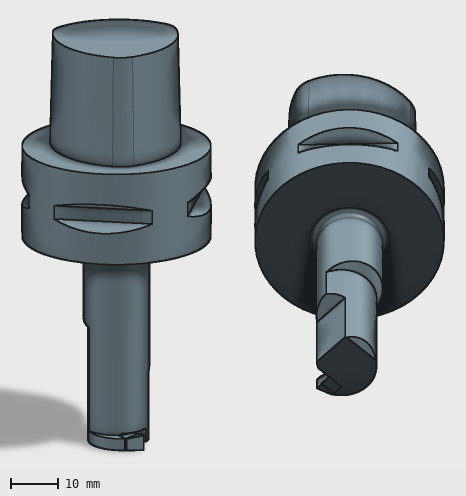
import cadquery as cq
import math

TAPER_HEIGHT = 24.0
TAPER_SLOPE = 1 / 40
LOBE_REACH = 14.9
FLANK_REACH = 13.2
LOBE_RADIUS = 6.2
LOBE_COUNT = 3
FIRST_LOBE_ANGLE = 90

FLANGE_DIAMETER = 40.0
FLANGE_HEIGHT = 20.0
GROOVE_COUNT = 4
GROOVE_FLOOR_DISTANCE = 17.0
GROOVE_FLOOR_HEIGHT = 2.9
GROOVE_WALL_ANGLE = 30.0

TOTAL_HEIGHT = 89.0
SHANK_RADIUS = 14.0 / 2
NECK_FILLET = 1.5
INSERT_OVERHANG = 0.4
BAR_BOTTOM = -(TOTAL_HEIGHT - TAPER_HEIGHT - INSERT_OVERHANG)

CLEARANCE_RADIUS = 7.5
CLEARANCE_OFFSET = 2.5
CLEARANCE_TOP = -39.25
CLEARANCE_CONE_ANGLE = 40.0
FOOT_THICKNESS = 2.6
FOOT_TOP = BAR_BOTTOM + FOOT_THICKNESS
HEEL_CHAMFER = 1.3

FLAT_Y = 4.5
FLAT_TOP = -49.75

INSERT_TIP_X = CLEARANCE_OFFSET + CLEARANCE_RADIUS
INSERT_BACK_X = 6.2
INSERT_DEPTH = 3.7
INSERT_HEAD_X = 8.5
INSERT_HEAD_RISE = 0.4
FOOT_END_X = 8.7
INSERT_END_RELIEF = 0.9
SLOT_HEIGHT = 0.4

CUTTER_REACH = 2 * SHANK_RADIUS


def polar(radius, angle):
    """Point at an angle in degrees around the Z axis."""
    return radius * math.cos(math.radians(angle)), radius * math.sin(math.radians(angle))


def make_taper():
    """Polygon of alternating tangent lobe and flank arcs, narrowing upward."""
    lobe_centre = LOBE_REACH - LOBE_RADIUS
    flank_gap = FLANK_REACH - LOBE_RADIUS
    flank_centre = (lobe_centre**2 - flank_gap**2) / (2 * flank_gap - lobe_centre)
    pitch = 360 / LOBE_COUNT
    across = math.radians(pitch / 2)
    half_lobe = math.degrees(
        math.atan2(
            flank_centre * math.sin(across),
            lobe_centre + flank_centre * math.cos(across),
        )
    )

    def lobe_point(direction, turn):
        centre_x, centre_y = polar(lobe_centre, direction)
        arm_x, arm_y = polar(LOBE_RADIUS, direction + turn)
        return centre_x + arm_x, centre_y + arm_y

    outline = cq.Workplane("XY").moveTo(*lobe_point(FIRST_LOBE_ANGLE, -half_lobe))
    for index in range(LOBE_COUNT):
        direction = FIRST_LOBE_ANGLE + index * pitch
        outline = outline.threePointArc(
            polar(LOBE_REACH, direction), lobe_point(direction, half_lobe)
        ).threePointArc(
            polar(FLANK_REACH, direction + pitch / 2), lobe_point(direction + pitch, -half_lobe)
        )
    return outline.close().extrude(TAPER_HEIGHT, taper=math.degrees(math.atan(TAPER_SLOPE)))


def make_coupling():
    """Flange with V grooves at 45 degrees to X and Y, and the taper on top."""
    flange = cq.Workplane("XY").circle(FLANGE_DIAMETER / 2).extrude(-FLANGE_HEIGHT)
    outer = FLANGE_DIAMETER / 2
    floor = GROOVE_FLOOR_HEIGHT / 2
    mouth = floor + (outer - GROOVE_FLOOR_DISTANCE) * math.tan(math.radians(GROOVE_WALL_ANGLE))
    groove = (
        cq.Workplane("XZ")
        .polyline([
            (GROOVE_FLOOR_DISTANCE, -floor),
            (outer, -mouth),
            (outer, mouth),
            (GROOVE_FLOOR_DISTANCE, floor),
        ])
        .close()
        .extrude(outer, both=True)
        .translate((0, 0, -FLANGE_HEIGHT / 2))
    )
    pitch = 360 / GROOVE_COUNT
    for index in range(GROOVE_COUNT):
        flange = flange.cut(groove.rotate((0, 0, 0), (0, 0, 1), (index + 0.5) * pitch))
    return flange.union(make_taper())


def make_shank():
    """Round shank with the concave fillet that meets the flange."""
    top = -FLANGE_HEIGHT
    swing = NECK_FILLET * (1 - math.sqrt(0.5))
    return (
        cq.Workplane("XZ")
        .moveTo(0, top)
        .lineTo(SHANK_RADIUS + NECK_FILLET, top)
        .threePointArc((SHANK_RADIUS + swing, top - swing), (SHANK_RADIUS, top - NECK_FILLET))
        .lineTo(SHANK_RADIUS, BAR_BOTTOM)
        .lineTo(0, BAR_BOTTOM)
        .close()
        .revolve(360, (0, 0), (0, 1))
    )


def make_clearance():
    """Offset cylinder that opens upward as a cone."""
    cone_run = -CLEARANCE_TOP / math.tan(math.radians(CLEARANCE_CONE_ANGLE))
    return (
        cq.Workplane("XZ")
        .polyline([
            (0, BAR_BOTTOM),
            (CLEARANCE_RADIUS, BAR_BOTTOM),
            (CLEARANCE_RADIUS, CLEARANCE_TOP),
            (CLEARANCE_RADIUS + cone_run, 0),
            (0, 0),
        ])
        .close()
        .revolve(360, (0, 0), (0, 1))
        .translate((CLEARANCE_OFFSET, 0, 0))
    )


def make_foot():
    """Half disc on the -Y side that carries the insert."""
    radius = CLEARANCE_RADIUS
    return (
        cq.Workplane("XY", origin=(CLEARANCE_OFFSET, 0, BAR_BOTTOM))
        .moveTo(-radius, 0)
        .threePointArc((0, -radius), (radius, 0))
        .close()
        .extrude(FOOT_THICKNESS)
    )


def make_insert():
    """Stem level with the foot, and a wider head that narrows away from the rake face."""
    tip_bottom = BAR_BOTTOM - INSERT_OVERHANG
    stem = (
        cq.Workplane("XY", origin=(INSERT_BACK_X, -INSERT_DEPTH, BAR_BOTTOM))
        .rect(INSERT_HEAD_X - INSERT_BACK_X, INSERT_DEPTH, centered=False)
        .extrude(FOOT_THICKNESS)
    )
    head = (
        cq.Workplane("YZ", origin=(INSERT_HEAD_X, 0, 0))
        .polyline([
            (0, tip_bottom),
            (0, FOOT_TOP + INSERT_HEAD_RISE),
            (-INSERT_DEPTH, FOOT_TOP),
            (-INSERT_DEPTH, BAR_BOTTOM),
        ])
        .close()
        .extrude(INSERT_TIP_X - INSERT_HEAD_X)
    )
    end_relief = (
        cq.Workplane("XY", origin=(0, 0, tip_bottom))
        .polyline([
            (INSERT_TIP_X, 0),
            (INSERT_TIP_X, -INSERT_DEPTH),
            (INSERT_TIP_X - INSERT_END_RELIEF, -INSERT_DEPTH),
        ])
        .close()
        .extrude(FOOT_THICKNESS + INSERT_OVERHANG + INSERT_HEAD_RISE)
    )
    return stem.union(head).cut(end_relief)


def make_flat_cutter():
    """Everything beyond the +Y flat, up to its run-out at 45 degrees."""
    run_out = 2 * (SHANK_RADIUS - FLAT_Y)
    return (
        cq.Workplane("YZ")
        .polyline([
            (FLAT_Y, BAR_BOTTOM),
            (FLAT_Y, FLAT_TOP),
            (FLAT_Y + run_out, FLAT_TOP + run_out),
            (FLAT_Y + run_out, BAR_BOTTOM),
        ])
        .close()
        .extrude(CUTTER_REACH, both=True)
    )


def make_heel_cutter():
    """Chamfer under the -X side, opposite the insert tip."""
    heel_x = CLEARANCE_OFFSET - CLEARANCE_RADIUS
    return (
        cq.Workplane("XZ")
        .polyline([
            (heel_x, BAR_BOTTOM),
            (heel_x, BAR_BOTTOM + HEEL_CHAMFER),
            (heel_x + HEEL_CHAMFER, BAR_BOTTOM),
        ])
        .close()
        .extrude(CUTTER_REACH, both=True)
    )


def make_pocket_cutter():
    """Insert seat open toward +X and +Y, the foot end, and the slot above the insert."""
    seat = (
        cq.Workplane("XY", origin=(INSERT_BACK_X, -INSERT_DEPTH, BAR_BOTTOM))
        .rect(CUTTER_REACH, INSERT_DEPTH + CUTTER_REACH, centered=False)
        .extrude(FOOT_THICKNESS)
    )
    foot_end = (
        cq.Workplane("XY", origin=(FOOT_END_X, -CUTTER_REACH, BAR_BOTTOM))
        .rect(CUTTER_REACH, 2 * CUTTER_REACH, centered=False)
        .extrude(FOOT_THICKNESS)
    )
    slot = (
        cq.Workplane("XY", origin=(INSERT_BACK_X, -CUTTER_REACH, FOOT_TOP))
        .rect(CUTTER_REACH, 2 * CUTTER_REACH, centered=False)
        .extrude(SLOT_HEIGHT)
    )
    return seat.union(foot_end).union(slot)


def make_bar():
    """Shank trimmed by the clearance, with the foot, flat, heel chamfer and insert pocket."""
    bar = make_shank().intersect(make_clearance()).union(make_foot())
    return bar.cut(make_flat_cutter()).cut(make_heel_cutter()).cut(make_pocket_cutter())


coupling = make_coupling()
bar = make_bar()
insert = make_insert()

result = cq.Compound.makeCompound([coupling.val(), bar.val(), insert.val()])